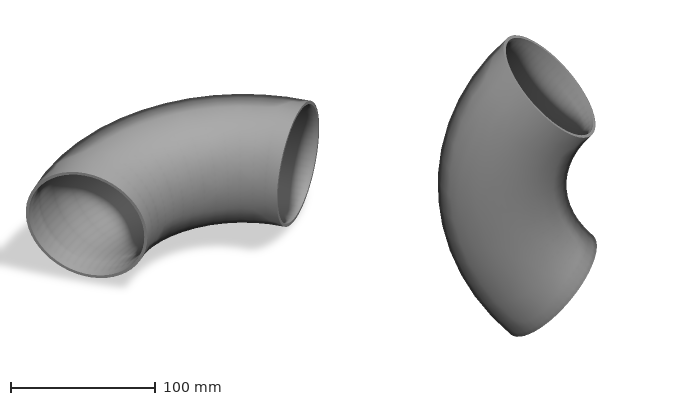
import cadquery as cq

overall_reach = 159.0
outer_diameter = 88.9
wall_thickness = 2.2
bend_angle = 90.0

outer_radius = outer_diameter / 2
inner_radius = outer_radius - wall_thickness
bend_radius = overall_reach - outer_radius

pipe_section = (
    cq.Workplane("XZ")
    .center(-bend_radius, 0)
    .circle(outer_radius)
    .circle(inner_radius)
)

bend_axis_start = (bend_radius, 0, 0)
bend_axis_end = (bend_radius, -1, 0)
result = pipe_section.revolve(bend_angle, bend_axis_start, bend_axis_end)